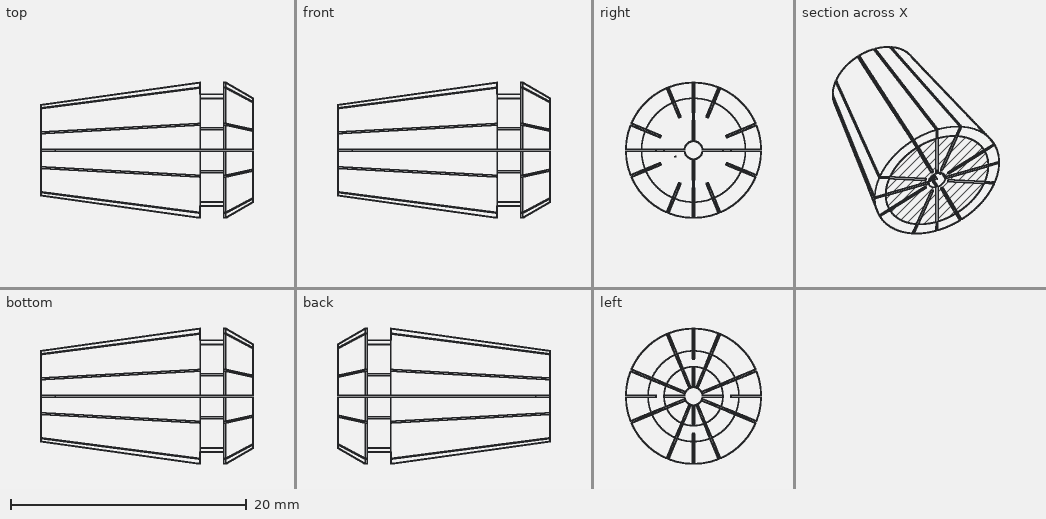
import cadquery as cq
import math


length = 18.0
max_diameter = 11.5
max_radius = max_diameter / 2
taper_length = 13.5
taper_angle = 8.0
groove_radius = 4.75
rim_start = 15.5
rim_width = 0.18
nose_angle = 30.0

clearance_radius = 2.5
clearance_depth = 9.0
grip_radius = 0.75

slot_width = 0.16
saw_radius = 27.0
rear_web_radius = 3.19
rear_web_angle = 30.5
nose_web_radius = 3.05
nose_web_angle = 28.4
rear_web_slot_count = 4
nose_web_pair_offset = 22.5
cut_clearance = 0.18


def slope(angle):
    return math.tan(math.radians(angle))


def collet_body():
    """Solid of revolution: long taper, groove, rim, nose cone and stepped bore."""
    nose_start = rim_start + rim_width
    rear_radius = max_radius - taper_length * slope(taper_angle)
    nose_radius = max_radius - (length - nose_start) * slope(nose_angle)
    profile = [
        (0, clearance_radius),
        (0, rear_radius),
        (taper_length, max_radius),
        (taper_length, groove_radius),
        (rim_start, groove_radius),
        (rim_start, max_radius),
        (nose_start, max_radius),
        (length, nose_radius),
        (length, grip_radius),
        (clearance_depth, grip_radius),
        (clearance_depth, clearance_radius),
    ]
    return cq.Workplane("XY").polyline(profile).close().revolve(360, (0, 0, 0), (1, 0, 0))


def slot_cutter(web_radius, web_angle):
    """Thin radial blade, open at X = 0, that leaves a web at the nose face.

    The web reaches web_radius on the face, where its edge makes web_angle
    with the axis; the edge then follows the saw arc down to the axis.
    """
    exit_angle = math.radians(web_angle)
    saw_x = length - saw_radius * math.sin(exit_angle)
    saw_y = web_radius + saw_radius * math.cos(exit_angle)
    axis_angle = math.acos(saw_y / saw_radius)

    def saw_point(angle):
        return (saw_x + saw_radius * math.sin(angle), saw_y - saw_radius * math.cos(angle))

    outer = max_radius + cut_clearance
    return (
        cq.Workplane("XY")
        .moveTo(-cut_clearance, 0)
        .lineTo(*saw_point(axis_angle))
        .threePointArc(saw_point((axis_angle + exit_angle) / 2), (length, web_radius))
        .lineTo(length, outer)
        .lineTo(-cut_clearance, outer)
        .close()
        .extrude(slot_width / 2, both=True)
    )


def turned(blade, angle):
    return blade.rotate((0, 0, 0), (1, 0, 0), angle)


nose_web_blade = slot_cutter(nose_web_radius, nose_web_angle)
rear_web_blade = slot_cutter(rear_web_radius, rear_web_angle).mirror("YZ", (length / 2, 0, 0))

result = collet_body()
for i in range(rear_web_slot_count):
    quarter_angle = i * 360 / rear_web_slot_count
    result = result.cut(turned(rear_web_blade, quarter_angle))
    for offset in (-nose_web_pair_offset, nose_web_pair_offset):
        result = result.cut(turned(nose_web_blade, quarter_angle + offset))